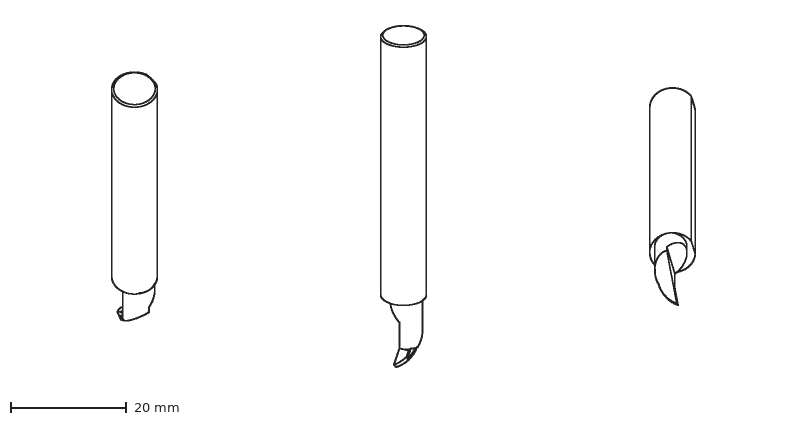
import cadquery as cq
import math

overall_length = 63.5
shank_diameter = 7.95
shank_radius = shank_diameter / 2
flat_y = 3.715
shank_bottom_z = 12.8
chamfer_radial = 0.4
chamfer_height = 0.25

neck_radius = 2.8
neck_x = shank_radius - neck_radius
neck_bottom_z = 3.1

half_face_top_z = 8.1

tip_x = -2.85
tip_thickness = 1.35
tip_mid_y = -1.35
tip_mid_z = 0.8
tip_back_y = -2.55
tip_back_z = 3.3
ledge_height = 0.65
ledge_y = -1.8
slope = math.sqrt(2)


def make_shank():
    length = overall_length - shank_bottom_z
    round_bar = (
        cq.Workplane("XY", origin=(0, 0, shank_bottom_z))
        .circle(shank_radius)
        .extrude(length)
        .faces(">Z")
        .edges()
        .chamfer(chamfer_height, chamfer_radial)
    )
    flat_cutter = (
        cq.Workplane("XY", origin=(0, flat_y + shank_radius / 2, shank_bottom_z))
        .rect(shank_diameter, shank_radius)
        .extrude(length)
    )
    return round_bar.cut(flat_cutter)


def make_neck():
    neck = (
        cq.Workplane("XY", origin=(neck_x, 0, neck_bottom_z))
        .circle(neck_radius)
        .extrude(shank_bottom_z - neck_bottom_z)
    )
    half_cutter = (
        cq.Workplane("YZ")
        .moveTo(0, 0)
        .lineTo(0, half_face_top_z)
        .lineTo(shank_radius, half_face_top_z + shank_radius)
        .lineTo(shank_radius, 0)
        .close()
        .extrude(shank_diameter, both=True)
    )
    relief_cutter = (
        cq.Workplane("XZ")
        .moveTo(tip_x, 0)
        .lineTo(tip_x + shank_bottom_z, shank_bottom_z)
        .lineTo(tip_x + shank_bottom_z, 0)
        .close()
        .extrude(shank_diameter, both=True)
    )
    return neck.cut(half_cutter).cut(relief_cutter)


def make_tip():
    relief_plane = cq.Plane(origin=(tip_x, 0, 0), xDir=(1, 0, 1), normal=(-1, 0, 1))
    plate = (
        cq.Workplane(relief_plane)
        .moveTo(0, 0)
        .threePointArc((tip_mid_z * slope, tip_mid_y), (tip_back_z * slope, tip_back_y))
        .lineTo(tip_back_z * slope, 0)
        .close()
        .extrude(tip_thickness)
    )
    ledge_cutter = (
        cq.Workplane(relief_plane)
        .workplane(offset=ledge_height)
        .moveTo(0, ledge_y)
        .lineTo(0, -shank_radius)
        .lineTo(tip_back_z * slope, -shank_radius)
        .lineTo(tip_back_z * slope, ledge_y)
        .close()
        .extrude(tip_thickness)
    )
    neck_side_cutter = (
        cq.Workplane("XY", origin=(0, 0, neck_bottom_z))
        .rect(2 * shank_diameter, shank_diameter)
        .extrude(shank_bottom_z)
    )
    return plate.cut(ledge_cutter).cut(neck_side_cutter)


result = make_shank().union(make_neck()).union(make_tip())